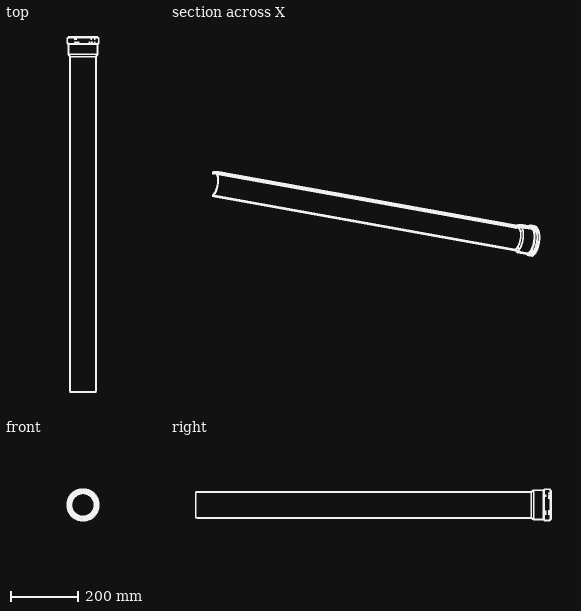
import cadquery as cq

length = 1055.0
pipe_diameter = 78.0
bore_diameter = 69.0
spigot_chamfer_length = 7.0
spigot_chamfer_depth = 1.0

sleeve_diameter = 88.0
socket_bore_diameter = pipe_diameter
socket_depth = 53.0
shoulder_length = 6.0

bead_diameter = 94.0
bead_length = 17.0
bead_taper_length = 6.0
bead_back_round_length = 4.0
bead_back_round_drop = 2.0
mouth_round_length = 4.0
mouth_round_drop = 3.0
mouth_chamfer = 3.0
groove_diameter = 87.0
groove_width = 10.0
mouth_lip = 7.0

spigot_end = -length / 2
mouth = length / 2
sleeve_start = mouth - socket_depth
shoulder_start = sleeve_start - shoulder_length
bead_start = mouth - bead_length
groove_end = mouth - mouth_lip
groove_start = groove_end - groove_width


def tangent_radius(along, drop):
    """Radius of an arc that leaves a straight side tangentially and falls by drop over along."""
    return (along**2 + drop**2) / (2 * drop)


def make_body():
    """Solid outer form, revolved from half of its lengthwise section."""
    pipe_radius = pipe_diameter / 2
    sleeve_radius = sleeve_diameter / 2
    bead_radius = bead_diameter / 2
    back_radius = tangent_radius(bead_back_round_length, bead_back_round_drop)
    front_radius = tangent_radius(mouth_round_length, mouth_round_drop)
    rim_radius = bead_radius - mouth_round_drop
    rim_start = mouth - mouth_chamfer
    profile = (
        cq.Workplane("XY")
        .moveTo(0, spigot_end)
        .lineTo(pipe_radius - spigot_chamfer_depth, spigot_end)
        .lineTo(pipe_radius, spigot_end + spigot_chamfer_length)
        .lineTo(pipe_radius, shoulder_start)
        .lineTo(sleeve_radius, sleeve_start)
        .lineTo(sleeve_radius, bead_start - bead_taper_length)
        .lineTo(bead_radius - bead_back_round_drop, bead_start - bead_back_round_length)
        .radiusArc((bead_radius, bead_start), -back_radius)
        .lineTo(bead_radius, rim_start - mouth_round_length)
        .radiusArc((rim_radius, rim_start), -front_radius)
        .lineTo(rim_radius - mouth_chamfer, mouth)
        .lineTo(0, mouth)
        .close()
    )
    return profile.revolve(360, (0, 0, 0), (0, 1, 0))


def make_cavity():
    """Bore, socket and seal groove as one revolved cutter."""
    bore_radius = bore_diameter / 2
    socket_radius = socket_bore_diameter / 2
    groove_radius = groove_diameter / 2
    profile = (
        cq.Workplane("XY")
        .moveTo(0, spigot_end)
        .lineTo(bore_radius, spigot_end)
        .lineTo(bore_radius, shoulder_start)
        .lineTo(socket_radius, sleeve_start)
        .lineTo(socket_radius, groove_start)
        .lineTo(groove_radius, groove_start)
        .lineTo(groove_radius, groove_end)
        .lineTo(socket_radius, groove_end)
        .lineTo(socket_radius, mouth)
        .lineTo(0, mouth)
        .close()
    )
    return profile.revolve(360, (0, 0, 0), (0, 1, 0))


result = make_body().cut(make_cavity())